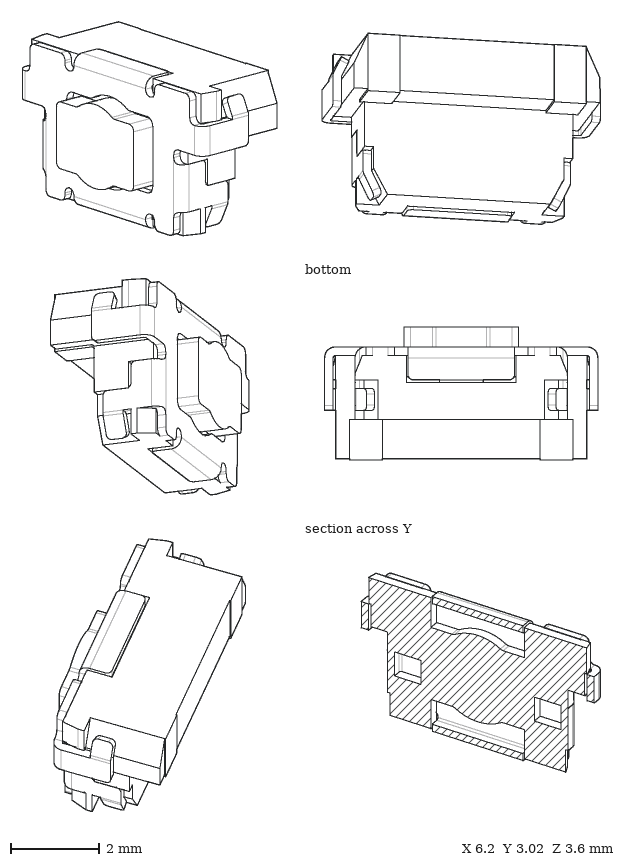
import cadquery as cq
import math


SHEET = 0.2
BEND = 0.25
COVER_FILLET = 0.15
COVER_TOP = 1.75
COVER_BOTTOM = -1.74
SHOULDER_HALF = 2.7
UPPER_ARM_OUT = 3.1
UPPER_ARM_TOP = 1.055
UPPER_ARM_BOTTOM = 0.35
LOWER_ARM_OUT = 2.405
LOWER_ARM_TOP = -0.01
LOWER_ARM_STEP = -0.64
LOWER_ARM_BOTTOM = -1.15
LOWER_HALF = LOWER_ARM_OUT - BEND
ARM_BACK = 1.44
ARM_CORNER = 0.11

TAB_FRONT = 0.95
TAB_ANGLE = math.radians(26)
TAB_BEND_OFFSET = 0.045
TAB_BEND = 0.175
TAB_CORNER = 0.125
TAB_OVERLAP = 0.06
UPPER_TAB_REACH = 0.485
LOWER_TAB_REACH = 0.58

CLIP_HALF = 1.21
CLIP_SPAN = 3.6
CLIP_OUT = CLIP_SPAN / 2
CLIP_BACK = 0.75
CLIP_CORNER = 0.125
NOTCH_WIDTH = 0.305
NOTCH_RADIUS = NOTCH_WIDTH / 2
NOTCH_X = CLIP_HALF + NOTCH_RADIUS
NOTCH_SETBACK = 0.01
NOTCH_Z = CLIP_OUT - BEND - NOTCH_SETBACK

BODY_TOP = 1.76
BODY_BOTTOM = COVER_BOTTOM
UPPER_BACK = 2.54
LOWER_BACK = 1.65
UPPER_HALF = 2.845
UPPER_TOP_HALF = 2.53
UPPER_BOTTOM = 0.46
WAIST_HALF = 2.41
FOOT_HALF = LOWER_ARM_OUT - SHEET
FOOT_BOTTOM_HALF = 1.885
FLANGE_BACK = 0.75
FLANGE_TAPER = 0.6
UPPER_FLANGE_HALF = 2.94
UPPER_FLANGE_FRONT_HALF = 2.85
LOWER_FLANGE_HALF = 2.405
LOWER_FLANGE_FRONT_HALF = 2.245
CAVITY_HALF = 1.24
CAVITY_FLOOR = 0.805

TERMINAL_INNER = 1.785
TERMINAL_PROUD = 0.025
TERMINAL_BOTTOM = 0.4

BUTTON_FRONT = -0.45
BUTTON_BACK = 0.68
BUTTON_HALF_X = 1.3
BUTTON_HALF_Z = 0.795
BUTTON_RADIUS = 1.0
BUTTON_CORNER = 0.15
OPENING_HALF_X = 1.45
OPENING_HALF_Z = 0.905
OPENING_RADIUS = 1.1
OPENING_CORNER = 0.2
LOBE_BLEND = 0.15
BUTTON_FLANGE_MARGIN = 0.06
STEM_DIAMETER = 1.0


def box(x0, x1, y0, y1, z0, z1):
    """Axis-aligned box between the given limits."""
    return cq.Workplane("XY").box(x1 - x0, y1 - y0, z1 - z0, centered=False).translate((x0, y0, z0))


def wide_box(half_x, y0, y1, z0, z1):
    """Box centred on X = 0."""
    return box(-half_x, half_x, y0, y1, z0, z1)


def front_prism(points, y0, y1):
    """Closed XZ outline extruded from y0 to y1."""
    return cq.Workplane("XZ", origin=(0, y0, 0)).polyline(points).close().extrude(y0 - y1)


def side_prism(points, half_x):
    """Closed YZ outline extruded both ways from X = 0."""
    return cq.Workplane("YZ").polyline(points).close().extrude(half_x, both=True)


def plan_prism(points, z0, z1):
    """Closed XY outline extruded from z0 to z1."""
    return cq.Workplane("XY", origin=(0, 0, z0)).polyline(points).close().extrude(z1 - z0)


def mirrored(right_points):
    """Right half of an outline completed by its mirror image in X = 0."""
    return right_points + [(-x, other) for x, other in reversed(right_points)]


def fillet_at(solid, edge_direction, radius, spots, reach=0.0005):
    """Round the edges along one axis whose centres lie on the given spots of the section plane."""
    def is_wanted(edge):
        centre = edge.Center()
        position = {"X": (centre.y, centre.z), "Y": (centre.x, centre.z)}[edge_direction]
        return any(math.dist(position, spot) < reach for spot in spots)

    edges = [edge for edge in solid.edges("|" + edge_direction).vals() if is_wanted(edge)]
    return solid.newObject(edges).fillet(radius)


def bent_channel(outer_half, back, z0, z1):
    """Sheet folded back along both sides of the front face."""
    inner_half = outer_half - SHEET
    outer = wide_box(outer_half, 0, back, z0, z1).edges("|Z and <Y").fillet(BEND)
    inner = wide_box(inner_half, SHEET, back, z0, z1).edges("|Z and <Y").fillet(BEND - SHEET)
    return outer.cut(inner)


def lobed_block(half_x, half_z, radius, corner, y0, y1):
    """Rounded rectangle with a circular lobe above and below."""
    block = wide_box(half_x, y0, y1, -half_z, half_z).edges("|Y").fillet(corner)
    disc = cq.Workplane("XZ", origin=(0, y0, 0)).circle(radius).extrude(y0 - y1)
    lobe_x = math.sqrt(radius**2 - half_z**2)
    joints = [(sx * lobe_x, sz * half_z) for sx in (-1, 1) for sz in (-1, 1)]
    return fillet_at(block.union(disc), "Y", LOBE_BLEND, joints)


def cover_outline():
    """Front outline of cover and arms, open where the clips join, as a prism to trim both."""
    right = [
        (SHOULDER_HALF, COVER_TOP),
        (SHOULDER_HALF, UPPER_ARM_TOP),
        (UPPER_ARM_OUT, UPPER_ARM_TOP),
        (UPPER_ARM_OUT, UPPER_ARM_BOTTOM),
        (LOWER_HALF, UPPER_ARM_BOTTOM),
        (LOWER_HALF, LOWER_ARM_TOP),
        (LOWER_ARM_OUT, LOWER_ARM_TOP),
        (LOWER_ARM_OUT, LOWER_ARM_BOTTOM),
        (LOWER_HALF, LOWER_ARM_BOTTOM),
        (LOWER_HALF, COVER_BOTTOM),
    ]
    prism = front_prism(mirrored(right), 0, ARM_BACK)
    rounded = [(x, z) for x, z in mirrored(right) if abs(x) in (SHOULDER_HALF, LOWER_HALF)]
    prism = fillet_at(prism, "Y", COVER_FILLET, rounded)

    notch_edge = NOTCH_X + NOTCH_RADIUS
    for side, edge_z in ((1, COVER_TOP), (-1, COVER_BOTTOM)):
        for sx in (-1, 1):
            round_end = cq.Workplane("XZ").center(sx * NOTCH_X, side * NOTCH_Z).circle(NOTCH_RADIUS)
            prism = prism.cut(round_end.extrude(-ARM_BACK))
        z0, z1 = sorted((side * NOTCH_Z, edge_z))
        prism = prism.cut(wide_box(notch_edge, 0, ARM_BACK, z0, z1))
        corners = [(sx * notch_edge, edge_z) for sx in (-1, 1)]
        prism = fillet_at(prism, "Y", COVER_FILLET, corners)
    return prism


def arm_side_trim():
    """Side outline of the arms, giving how far back each one reaches."""
    upper = box(-UPPER_ARM_OUT, UPPER_ARM_OUT, 0, ARM_BACK, UPPER_ARM_BOTTOM, COVER_TOP)
    upper = fillet_at(upper, "X", ARM_CORNER, [(ARM_BACK, UPPER_ARM_BOTTOM)])
    lower_points = [
        (0, UPPER_ARM_BOTTOM),
        (SHEET, UPPER_ARM_BOTTOM),
        (SHEET, LOWER_ARM_TOP),
        (CLIP_BACK, LOWER_ARM_TOP),
        (CLIP_BACK, LOWER_ARM_STEP),
        (ARM_BACK, LOWER_ARM_STEP),
        (ARM_BACK, COVER_BOTTOM),
        (0, COVER_BOTTOM),
    ]
    lower = side_prism(lower_points, UPPER_ARM_OUT)
    lower = fillet_at(lower, "X", ARM_CORNER, lower_points[3:6])
    return upper.union(lower)


def tab(outer_x, edge_z, direction, reach):
    """Tab continuing a right-hand arm up (direction 1) or down (-1), bent inward."""
    lean = math.tan(TAB_ANGLE)
    inner_start = TAB_BEND_OFFSET - SHEET * math.tan(TAB_ANGLE / 2)
    tip_x = outer_x - (reach - TAB_BEND_OFFSET) * lean
    tip_inner_x = tip_x - SHEET * math.cos(TAB_ANGLE)
    tip_inner_reach = reach - SHEET * math.sin(TAB_ANGLE)
    profile = [
        (outer_x, -TAB_OVERLAP),
        (outer_x, TAB_BEND_OFFSET),
        (tip_x, reach),
        (tip_inner_x, tip_inner_reach),
        (outer_x - SHEET, inner_start),
        (outer_x - SHEET, -TAB_OVERLAP),
    ]
    points = [(x, edge_z + direction * rise) for x, rise in profile]
    blank = front_prism(points, TAB_FRONT, ARM_BACK)
    blank = fillet_at(blank, "Y", TAB_BEND, [points[1]])
    tip_centre = ((tip_x + tip_inner_x) / 2, (TAB_FRONT + ARM_BACK) / 2, (points[2][1] + points[3][1]) / 2)
    tip_face = blank.faces(cq.selectors.NearestToPointSelector(tip_centre))
    return tip_face.edges("not |Y").fillet(TAB_CORNER)


def clips():
    """Top and bottom tongues folded back over the body."""
    outer = wide_box(CLIP_HALF, 0, CLIP_BACK, -CLIP_OUT, CLIP_OUT).edges("|X and <Y").fillet(BEND)
    outer = outer.edges("|Z and >Y").fillet(CLIP_CORNER)
    inner_z = CLIP_OUT - SHEET
    inner = wide_box(CLIP_HALF, SHEET, CLIP_BACK, -inner_z, inner_z)
    return outer.cut(inner.edges("|X and <Y").fillet(BEND - SHEET))


def make_cover():
    upper = bent_channel(UPPER_ARM_OUT, ARM_BACK, UPPER_ARM_BOTTOM - COVER_FILLET, COVER_TOP)
    lower = bent_channel(LOWER_ARM_OUT, ARM_BACK, COVER_BOTTOM, UPPER_ARM_BOTTOM - COVER_FILLET)
    cover = upper.union(lower).intersect(cover_outline()).intersect(arm_side_trim())
    for right_tab in (
        tab(UPPER_ARM_OUT, UPPER_ARM_TOP, 1, UPPER_TAB_REACH),
        tab(LOWER_ARM_OUT, LOWER_ARM_BOTTOM, -1, LOWER_TAB_REACH),
    ):
        cover = cover.union(right_tab).union(right_tab.mirror("YZ"))
    opening = lobed_block(OPENING_HALF_X, OPENING_HALF_Z, OPENING_RADIUS, OPENING_CORNER, 0, SHEET)
    return cover.union(clips()).cut(opening)


def flange(half, front_half, z0, z1):
    """Front rim of the body, tapering toward the cover."""
    right = [(front_half, SHEET), (half, FLANGE_TAPER), (half, FLANGE_BACK)]
    return plan_prism(mirrored(right), z0, z1)


def make_body():
    upper_right = [
        (UPPER_TOP_HALF, BODY_TOP),
        (UPPER_HALF, UPPER_ARM_TOP),
        (UPPER_HALF, UPPER_BOTTOM),
    ]
    foot_right = [
        (FOOT_HALF, LOWER_ARM_STEP),
        (FOOT_HALF, LOWER_ARM_BOTTOM),
        (FOOT_BOTTOM_HALF, BODY_BOTTOM),
    ]
    body = front_prism(mirrored(upper_right), SHEET, UPPER_BACK)
    body = body.union(wide_box(WAIST_HALF, SHEET, LOWER_BACK, LOWER_ARM_STEP, UPPER_BOTTOM))
    body = body.union(front_prism(mirrored(foot_right), SHEET, LOWER_BACK))
    body = body.union(flange(UPPER_FLANGE_HALF, UPPER_FLANGE_FRONT_HALF, UPPER_ARM_TOP, BODY_TOP))
    body = body.union(flange(LOWER_FLANGE_HALF, LOWER_FLANGE_FRONT_HALF, BODY_BOTTOM, LOWER_ARM_BOTTOM))
    body = body.cut(wide_box(CAVITY_HALF, SHEET, CAVITY_FLOOR, BODY_BOTTOM, BODY_TOP))
    return body.cut(wide_box(WAIST_HALF, SHEET, CAVITY_FLOOR, LOWER_ARM_STEP, LOWER_ARM_TOP))


def make_terminal(sx):
    """Thin L-shaped terminal on the back and underside of the upper body."""
    back = UPPER_BACK + TERMINAL_PROUD
    x0, x1 = sorted((sx * TERMINAL_INNER, sx * UPPER_TOP_HALF))
    back_leaf = box(x0, x1, UPPER_BACK, back, TERMINAL_BOTTOM, BODY_TOP)
    return back_leaf.union(box(x0, x1, LOWER_BACK, back, TERMINAL_BOTTOM, UPPER_BOTTOM))


def make_button():
    button = lobed_block(
        BUTTON_HALF_X, BUTTON_HALF_Z, BUTTON_RADIUS, BUTTON_CORNER, BUTTON_FRONT, BUTTON_BACK
    )
    retainer = lobed_block(
        OPENING_HALF_X + BUTTON_FLANGE_MARGIN,
        OPENING_HALF_Z + BUTTON_FLANGE_MARGIN,
        OPENING_RADIUS + BUTTON_FLANGE_MARGIN,
        OPENING_CORNER,
        SHEET,
        BUTTON_BACK,
    )
    stem = cq.Workplane("XZ", origin=(0, BUTTON_BACK, 0)).circle(STEM_DIAMETER / 2)
    return button.union(retainer).union(stem.extrude(BUTTON_BACK - CAVITY_FLOOR))


result = make_body().union(make_cover()).union(make_button())
for side_sign in (-1, 1):
    result = result.union(make_terminal(side_sign))